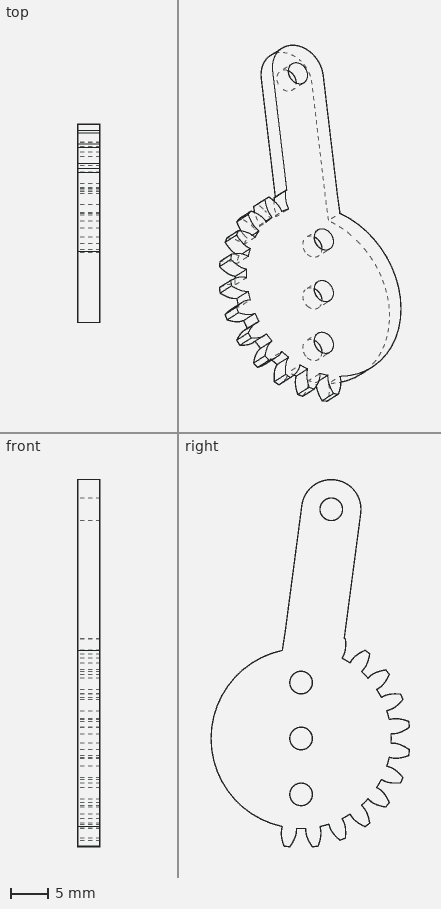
import cadquery as cq
import math

thickness = 3.0

module = 1.125
full_circle_teeth = 24
pressure_angle = math.radians(20)
pitch_radius = module * full_circle_teeth / 2
tip_radius = pitch_radius + module
dedendum_factor = 1.25
root_radius = pitch_radius - dedendum_factor * module
base_radius = pitch_radius * math.cos(pressure_angle)
tooth_pitch_deg = 360 / full_circle_teeth
tooth_count = 13
first_tooth_deg = -90 - tooth_pitch_deg / 2
tooth_foot_radius = root_radius - module
flank_points = 7

arm_length = 31.0
arm_half_width = 4.0
arm_lean_deg = tooth_pitch_deg / 2

hole_diameter = 3.0
gear_hole_spacing = 7.5


def involute_angle(radius):
    """Polar angle swept by the involute between the base circle and a radius."""
    roll = math.acos(base_radius / radius)
    return math.tan(roll) - roll


def polar(radius, angle):
    return (radius * math.cos(angle), radius * math.sin(angle))


half_angle_at_base = math.pi / full_circle_teeth / 2 + involute_angle(pitch_radius)


def make_disc():
    return cq.Workplane("YZ").circle(root_radius).extrude(thickness)


def make_tooth():
    """One tooth centred on +Y: flanks radial at the root, then involute, and a round tip."""
    radius_step = (tip_radius - base_radius) / (flank_points - 1)
    radii = [base_radius + i * radius_step for i in range(flank_points)]
    half_angles = [half_angle_at_base - involute_angle(r) for r in radii]
    lower_flank = [polar(r, -a) for r, a in zip(radii, half_angles)]
    upper_flank = [polar(r, a) for r, a in zip(radii, half_angles)]
    upper_flank.reverse()
    return (
        cq.Workplane("YZ")
        .moveTo(*polar(tooth_foot_radius, -half_angle_at_base))
        .lineTo(*polar(root_radius, -half_angle_at_base))
        .spline(lower_flank, includeCurrent=True)
        .threePointArc((tip_radius, 0), upper_flank[0])
        .spline(upper_flank[1:] + [polar(root_radius, half_angle_at_base)], includeCurrent=True)
        .lineTo(*polar(tooth_foot_radius, half_angle_at_base))
        .close()
        .extrude(thickness)
    )


def make_arm():
    """Arm from the gear axis to a rounded end, leaning towards +Y.

    Inside the tip circle its -Y edge flares out, to meet the disc where the
    far flank of the next tooth would have started.
    """
    flare_angle = math.radians(tooth_pitch_deg) + half_angle_at_base
    flare_foot = (-root_radius * math.sin(flare_angle), root_radius * math.cos(flare_angle))
    flare_top = (-arm_half_width, math.sqrt(tip_radius**2 - arm_half_width**2))
    arm = (
        cq.Workplane("YZ")
        .moveTo(-arm_half_width, 0)
        .lineTo(*flare_foot)
        .lineTo(*flare_top)
        .lineTo(-arm_half_width, arm_length)
        .threePointArc((0, arm_length + arm_half_width), (arm_half_width, arm_length))
        .lineTo(arm_half_width, 0)
        .close()
        .extrude(thickness)
    )
    return arm.rotate((0, 0, 0), (1, 0, 0), -arm_lean_deg)


def make_holes():
    """Three holes in a row along Z in the gear and one at the arm's end."""
    lean = math.radians(arm_lean_deg)
    arm_hole = (arm_length * math.sin(lean), arm_length * math.cos(lean))
    gear_holes = [(0, row * gear_hole_spacing) for row in (-1, 0, 1)]
    return (
        cq.Workplane("YZ")
        .pushPoints(gear_holes + [arm_hole])
        .circle(hole_diameter / 2)
        .extrude(thickness)
    )


body = make_disc()
tooth = make_tooth()
for index in range(tooth_count):
    tooth_deg = first_tooth_deg + index * tooth_pitch_deg
    body = body.union(tooth.rotate((0, 0, 0), (1, 0, 0), tooth_deg))
body = body.union(make_arm())

result = body.cut(make_holes())